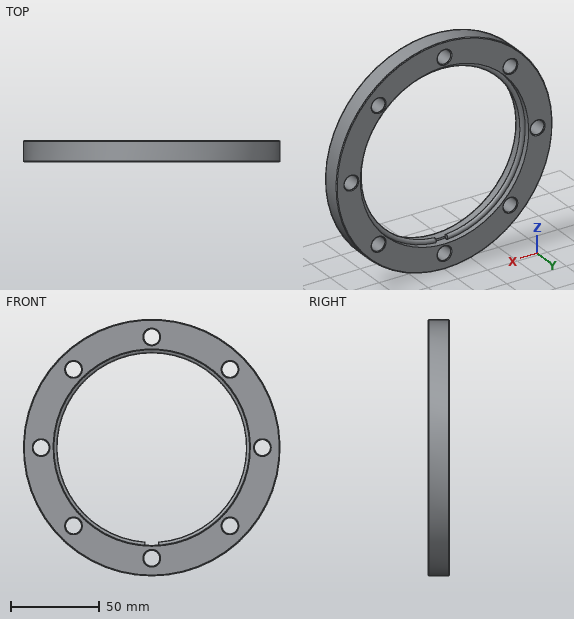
import cadquery as cq
import math

outer_diameter = 145.0
thickness = 12.0
bore_diameter = 110.5
edge_chamfer = 0.5

seat_diameter = 113.0
shoulder_depth = 6.4

bolt_circle_diameter = 125.0
bolt_count = 8
bolt_hole_diameter = 9.0
bolt_hole_chamfer = 0.5

wire_diameter = 3.0
ring_gap = 7.7

outer_radius = outer_diameter / 2
bore_radius = bore_diameter / 2
seat_radius = seat_diameter / 2
wire_radius = wire_diameter / 2
wire_path_radius = seat_radius - wire_radius
front_y = -thickness / 2
back_y = thickness / 2
shoulder_y = front_y + shoulder_depth
wire_y = shoulder_y + wire_radius


def bolt_hole_cutter():
    """Solid of one bolt hole centred on the Y axis, chamfered at both faces."""
    hole_radius = bolt_hole_diameter / 2
    rim_radius = hole_radius + bolt_hole_chamfer
    return (
        cq.Workplane("XY")
        .moveTo(0, front_y)
        .lineTo(rim_radius, front_y)
        .lineTo(hole_radius, front_y + bolt_hole_chamfer)
        .lineTo(hole_radius, back_y - bolt_hole_chamfer)
        .lineTo(rim_radius, back_y)
        .lineTo(0, back_y)
        .close()
        .revolve(360, (0, 0), (0, 1))
    )


def flange_blank():
    """Flat ring with chamfered rims and the stepped bore, revolved about the Y axis from the bottom."""
    return (
        cq.Workplane("ZY")
        .moveTo(-bore_radius - edge_chamfer, front_y)
        .lineTo(-outer_radius + edge_chamfer, front_y)
        .lineTo(-outer_radius, front_y + edge_chamfer)
        .lineTo(-outer_radius, back_y - edge_chamfer)
        .lineTo(-outer_radius + edge_chamfer, back_y)
        .lineTo(-seat_radius, back_y)
        .lineTo(-seat_radius, shoulder_y)
        .lineTo(-bore_radius, shoulder_y)
        .lineTo(-bore_radius, front_y + edge_chamfer)
        .close()
        .revolve(360, (0, 0), (0, 1))
    )


def make_flange():
    """Flange blank with its circle of bolt holes."""
    body = flange_blank()
    for index in range(bolt_count):
        angle = 2 * math.pi * index / bolt_count
        x = bolt_circle_diameter / 2 * math.cos(angle)
        z = bolt_circle_diameter / 2 * math.sin(angle)
        body = body.cut(bolt_hole_cutter().translate((x, 0, z)))
    return body


def make_retaining_ring():
    """Round wire swept about the Y axis, leaving a gap at the bottom."""
    half_gap_angle = math.degrees(math.asin(ring_gap / 2 / wire_path_radius))
    return (
        cq.Workplane("ZY")
        .center(-wire_path_radius, wire_y)
        .circle(wire_radius)
        .revolve(360 - 2 * half_gap_angle, (wire_path_radius, 0), (wire_path_radius, 1))
        .rotate((0, 0, 0), (0, 1, 0), half_gap_angle)
    )


flange = make_flange()
retaining_ring = make_retaining_ring()

result = cq.Compound.makeCompound([flange.val(), retaining_ring.val()])